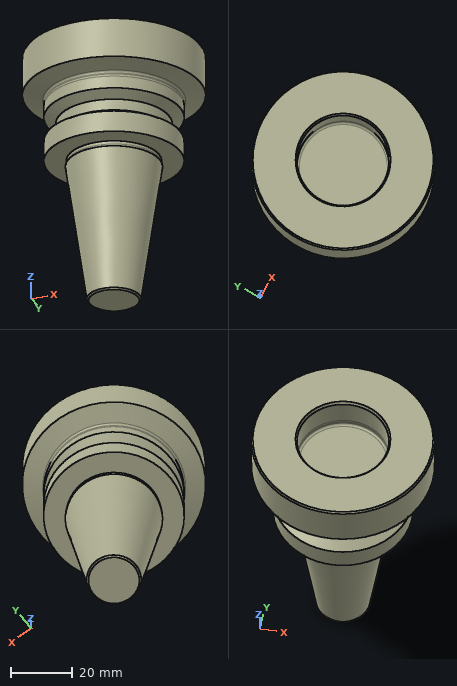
import cadquery as cq
import math

total_height = 88.4

head_diameter = 60.0
head_radius = head_diameter / 2
head_height = 14.2
head_edge_chamfer = 0.5
head_underside_angle = math.radians(15)

undercut_depth = 0.2
undercut_fillet = 0.8
run_out_height = 0.9
neck_height = 0.35

flange_radius = 23.0
flange_bottom_drop = 38.0
groove_center_drop = 26.5
groove_floor_radius = 19.1
groove_floor_width = 3.9
groove_side_angle = math.radians(30)

gauge_z = 48.4
gauge_radius = 15.9
taper_on_diameter = 7 / 24
taper_radius_slope = taper_on_diameter / 2
collar_radius = 15.65
tip_chamfer = 0.5

bore_radius = 15.0
bore_depth = 12.0
mouth_chamfer_width = 0.5
mouth_chamfer_depth = 1.0
bore_run_out_height = 1.15
bore_neck_height = 0.5


def shank_points():
    """Outline of the shank from the axis at the tip up to the flange."""
    tip_radius = gauge_radius - taper_radius_slope * gauge_z
    return [
        (0, 0),
        (tip_radius - tip_chamfer, 0),
        (tip_radius + taper_radius_slope * tip_chamfer, tip_chamfer),
        (gauge_radius, gauge_z),
        (collar_radius, gauge_z + run_out_height),
        (collar_radius, total_height - flange_bottom_drop),
    ]


def flange_points():
    """Outline of the flange from its bottom face, around the V groove, to its upper rim."""
    groove_z = total_height - groove_center_drop
    half_floor = groove_floor_width / 2
    half_mouth = half_floor + (flange_radius - groove_floor_radius) * math.tan(groove_side_angle)
    return [
        (flange_radius, total_height - flange_bottom_drop),
        (flange_radius, groove_z - half_mouth),
        (groove_floor_radius, groove_z - half_floor),
        (groove_floor_radius, groove_z + half_floor),
        (flange_radius, groove_z + half_mouth),
    ]


head_bottom_z = total_height - head_height
neck_radius = flange_radius - undercut_depth
fillet_center_radius = neck_radius + undercut_fillet
fillet_end_radius = fillet_center_radius - undercut_fillet * math.sin(head_underside_angle)
fillet_end_z = head_bottom_z - (head_radius - fillet_end_radius) * math.tan(head_underside_angle)
neck_top_z = fillet_end_z - undercut_fillet * math.cos(head_underside_angle)
neck_bottom_z = neck_top_z - neck_height
fillet_mid_angle = (math.pi / 2 - head_underside_angle) / 2
fillet_mid = (
    fillet_center_radius - undercut_fillet * math.cos(fillet_mid_angle),
    neck_top_z + undercut_fillet * math.sin(fillet_mid_angle),
)

bore_floor_z = total_height - bore_depth
bore_neck_radius = bore_radius + undercut_depth
bore_neck_bottom_z = bore_floor_z + undercut_fillet
bore_neck_top_z = bore_neck_bottom_z + bore_neck_height
bore_fillet_center_radius = bore_neck_radius - undercut_fillet
bore_fillet_mid = (
    bore_fillet_center_radius + undercut_fillet * math.cos(math.pi / 4),
    bore_neck_bottom_z - undercut_fillet * math.sin(math.pi / 4),
)

half_section = (
    cq.Workplane("XZ")
    .polyline(shank_points() + flange_points())
    .lineTo(flange_radius, neck_bottom_z - run_out_height)
    .lineTo(neck_radius, neck_bottom_z)
    .lineTo(neck_radius, neck_top_z)
    .threePointArc(fillet_mid, (fillet_end_radius, fillet_end_z))
    .lineTo(head_radius, head_bottom_z)
    .lineTo(head_radius, total_height - head_edge_chamfer)
    .lineTo(head_radius - head_edge_chamfer, total_height)
    .lineTo(bore_radius + mouth_chamfer_width, total_height)
    .lineTo(bore_radius, total_height - mouth_chamfer_depth)
    .lineTo(bore_radius, bore_neck_top_z + bore_run_out_height)
    .lineTo(bore_neck_radius, bore_neck_top_z)
    .lineTo(bore_neck_radius, bore_neck_bottom_z)
    .threePointArc(bore_fillet_mid, (bore_fillet_center_radius, bore_floor_z))
    .lineTo(0, bore_floor_z)
    .close()
)

result = half_section.revolve(360, (0, 0), (0, 1))